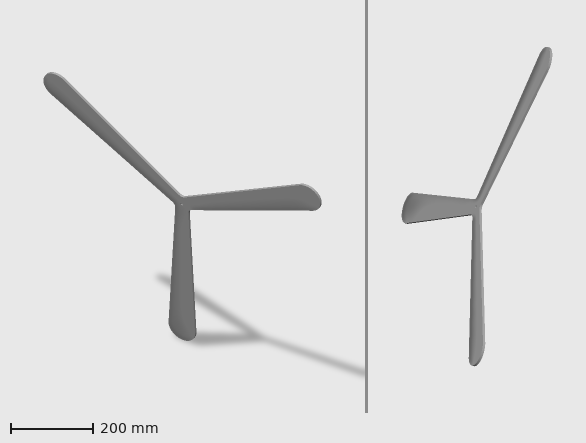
import cadquery as cq
import math

span = 802.0
thickness = 6.3
blade_count = 3
blade_pitch = 360.0 / blade_count

tip_center_distance = 419.0
tip_radius = span / 2 - tip_center_distance * math.cos(math.radians(30))
root_width = 36.0
root_half_width = root_width / 2

hole_diameter = 6.7
valley_fillet = 16.0


def make_blade():
    """Blade pointing along -Z, starting at the hub axis."""
    root_bearing = math.atan2(root_half_width, tip_center_distance)
    root_to_tip = math.hypot(root_half_width, tip_center_distance)
    taper = math.asin(tip_radius / root_to_tip) - root_bearing
    tangent_x = tip_radius * math.cos(taper)
    tangent_z = -tip_center_distance + tip_radius * math.sin(taper)
    tip_z = -tip_center_distance - tip_radius
    return (
        cq.Workplane("XZ")
        .moveTo(-root_half_width, 0)
        .lineTo(-tangent_x, tangent_z)
        .threePointArc((0, tip_z), (tangent_x, tangent_z))
        .lineTo(root_half_width, 0)
        .lineTo(0, root_half_width)
        .close()
        .extrude(thickness / 2, both=True)
    )


blade = make_blade()
propeller = blade
for index in range(1, blade_count):
    propeller = propeller.union(blade.rotate((0, 0, 0), (0, 1, 0), index * blade_pitch))
propeller = propeller.clean()

valley_search = 2 * root_half_width
valley_edges = cq.selectors.BoxSelector(
    (-valley_search, -thickness, -valley_search),
    (valley_search, thickness, valley_search),
)
propeller = propeller.edges("|Y").edges(valley_edges).fillet(valley_fillet)

shaft_hole = cq.Workplane("XZ").circle(hole_diameter / 2).extrude(thickness, both=True)
result = propeller.cut(shaft_hole)